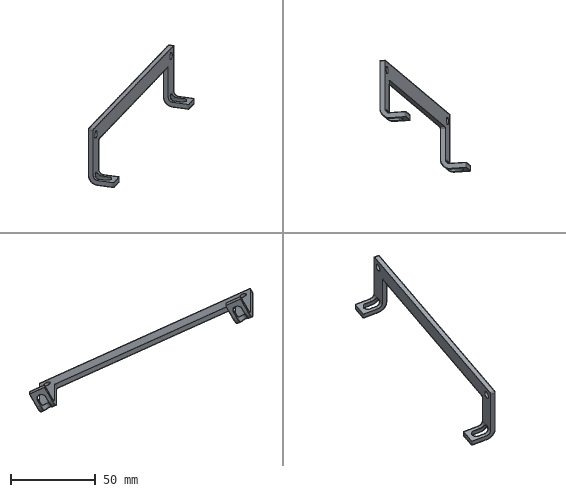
import cadquery as cq

depth = 16.0
length = 140.0
height = 35.3

thickness = 3.1
inner_bend_radius = 3.0
outer_bend_radius = inner_bend_radius + thickness

leg_width = 10.0
rail_height = 10.0
window_corner_radius = 0.7
rail_corner_radius = 0.7
foot_corner_radius = 0.4

hole_diameter = 4.2
hole_inset = rail_height / 2

slot_width = 5.5
slot_radius = slot_width / 2
slot_end_wall = 3.2
slot_end_center = depth - slot_end_wall - slot_radius
arch_spring = 2.2
arch_top = 5.9
arch_rise = arch_top - arch_spring

leg_center = (length - leg_width) / 2
leg_centers = (-leg_center, leg_center)


def bent_sheet():
    """L-shaped sheet: an upright plate with a foot bent toward +X."""
    return (
        cq.Workplane("XZ")
        .moveTo(0, height)
        .lineTo(thickness, height)
        .lineTo(thickness, outer_bend_radius)
        .radiusArc((outer_bend_radius, thickness), -inner_bend_radius)
        .lineTo(depth, thickness)
        .lineTo(depth, 0)
        .lineTo(outer_bend_radius, 0)
        .radiusArc((0, outer_bend_radius), outer_bend_radius)
        .close()
        .extrude(length / 2, both=True)
    )


def window():
    """Space between the legs, below the rail, with rounded upper corners."""
    return (
        cq.Workplane("XY")
        .box(depth, length - 2 * leg_width, height - rail_height, centered=(False, True, False))
        .edges("|X and >Z")
        .fillet(window_corner_radius)
    )


def mounting_hole(y):
    """Round hole through the upright plate."""
    return (
        cq.Workplane("YZ")
        .center(y, height - hole_inset)
        .circle(hole_diameter / 2)
        .extrude(thickness)
    )


def foot_slot(y):
    """Slot with a round end in the foot and a half-elliptical top in the bend."""
    straight_part = (
        cq.Workplane("XY")
        .center(0, y)
        .rect(2 * slot_end_center, slot_width)
        .extrude(arch_spring)
    )
    arch = (
        cq.Workplane("YZ")
        .center(y, arch_spring)
        .ellipse(slot_radius, arch_rise)
        .extrude(slot_end_center)
    )
    round_end = cq.Workplane("XY").center(slot_end_center, y).circle(slot_radius).extrude(thickness)
    return straight_part.union(arch).union(round_end)


def round_outer_corners(sheet):
    """Round the upper corners of the plate and the free corners of the foot."""
    rail_rounded = sheet.faces(">Z").edges("|X").fillet(rail_corner_radius)
    return rail_rounded.faces(">X").edges("|Z").fillet(foot_corner_radius)


result = round_outer_corners(bent_sheet().cut(window()))
for leg_y in leg_centers:
    result = result.cut(mounting_hole(leg_y)).cut(foot_slot(leg_y))